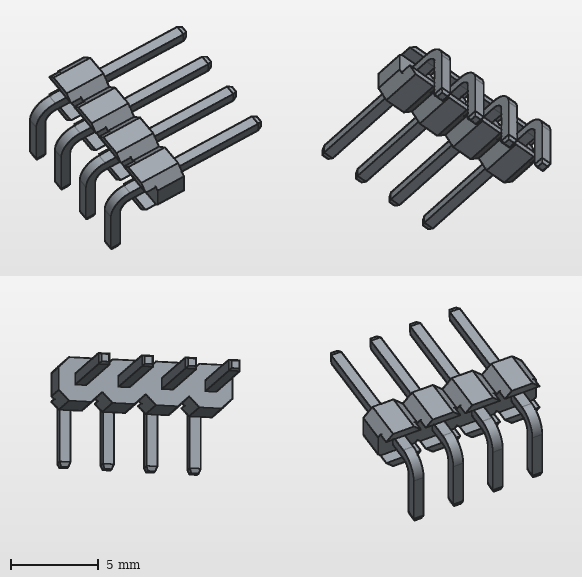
import cadquery as cq
import math


pin_count = 4
row_length = 10.16
overall_depth = 10.36
overall_height = 5.54

pitch = row_length / pin_count
body_height = pitch
body_depth = 2.52
cell_chamfer = 0.6
recess_depth = 0.7
lip_thickness = 0.45

pin_width = 0.64
bend_inner_radius = 0.67
rear_reach = 5.99
tip_length = 0.27
tip_inset = 0.1

pin_front = rear_reach - overall_depth
pin_bottom = body_height / 2 - overall_height
tip_angle = math.degrees(math.atan(tip_inset / tip_length))
cell_centers = [(i - (pin_count - 1) / 2) * pitch for i in range(pin_count)]


def make_cell(x):
    """Block with its four edges along Y chamfered, making an octagonal section."""
    block = cq.Workplane("XY").box(pitch, body_depth, body_height)
    return block.edges("|Y").chamfer(cell_chamfer).translate((x, -body_depth / 2, 0))


def make_recess():
    """Channel along the whole front face, leaving a lip above and below it."""
    channel_height = body_height - 2 * lip_thickness
    channel = cq.Workplane("XY").box(row_length, recess_depth, channel_height)
    return channel.translate((0, -body_depth + recess_depth / 2, 0))


def make_tip(plane):
    """Tapered square end growing along the plane's normal."""
    return cq.Workplane(plane).rect(pin_width, pin_width).extrude(tip_length, taper=tip_angle)


def make_pin(x):
    """Square pin running along Y, bent down at the front and tapered at both ends."""
    half_width = pin_width / 2
    bend_outer_radius = bend_inner_radius + pin_width
    bend_y = pin_front + bend_outer_radius
    bend_z = half_width - bend_outer_radius
    rear_shoulder = rear_reach - tip_length
    lower_shoulder = pin_bottom + tip_length
    diagonal = math.sqrt(0.5)

    shank = (
        cq.Workplane("YZ")
        .moveTo(rear_shoulder, half_width)
        .lineTo(bend_y, half_width)
        .threePointArc(
            (bend_y - bend_outer_radius * diagonal, bend_z + bend_outer_radius * diagonal),
            (pin_front, bend_z),
        )
        .lineTo(pin_front, lower_shoulder)
        .lineTo(pin_front + pin_width, lower_shoulder)
        .lineTo(pin_front + pin_width, bend_z)
        .threePointArc(
            (bend_y - bend_inner_radius * diagonal, bend_z + bend_inner_radius * diagonal),
            (bend_y, -half_width),
        )
        .lineTo(rear_shoulder, -half_width)
        .close()
        .extrude(half_width, both=True)
    )
    rear_tip = make_tip(cq.Plane((0, rear_shoulder, 0), xDir=(1, 0, 0), normal=(0, 1, 0)))
    lower_tip = make_tip(
        cq.Plane((0, pin_front + half_width, lower_shoulder), xDir=(1, 0, 0), normal=(0, 0, -1))
    )
    return shank.union(rear_tip).union(lower_tip).translate((x, 0, 0))


housing = make_cell(cell_centers[0])
for center in cell_centers[1:]:
    housing = housing.union(make_cell(center))
housing = housing.cut(make_recess())

result = housing
for center in cell_centers:
    result = result.union(make_pin(center))